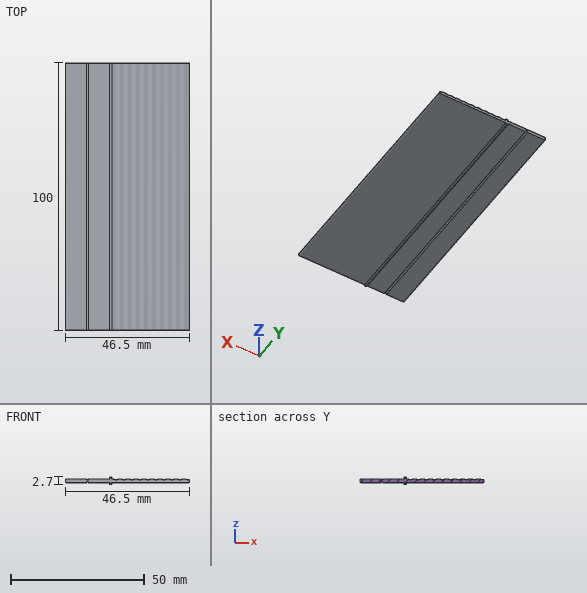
import cadquery as cq
import math

width = 46.5
length = 100.0
thickness = 1.5
left = -width / 2
right = width / 2
top = thickness / 2
left_round = 0.5
right_round = 0.5

groove_x = -15.0
groove_radius = 0.4

rib_x = -6.3
rib_width = 0.9
rib_height = 2.7
rib_round = 0.2

wave_pitch = 3.0
wave_depth = 0.3
first_trough_x = -4.3
trough_count = 9
arc_span = wave_pitch / 2
wave_mid = top - wave_depth / 2
wave_floor = top - wave_depth
wave_start_x = first_trough_x - arc_span / 2
wave_end_x = first_trough_x + trough_count * wave_pitch
wave_arc_radius = (arc_span**2 / 4 + (wave_depth / 2) ** 2) / wave_depth


def base_strip():
    """Plate with a wavy top on the right of the rib, extruded along Y."""
    outline = cq.Workplane("XZ").moveTo(left, -top).lineTo(left, top)
    first_crest_x = wave_start_x - arc_span / 2
    outline = outline.lineTo(first_crest_x, top)
    half_angle = math.asin(arc_span / 2 / wave_arc_radius) / 2
    shoulder_x = wave_arc_radius * math.sin(half_angle)
    shoulder_drop = wave_arc_radius * (1 - math.cos(half_angle))
    outline = outline.threePointArc(
        (first_crest_x + shoulder_x, top - shoulder_drop), (wave_start_x, wave_mid)
    )
    for i in range(trough_count):
        trough_x = first_trough_x + i * wave_pitch
        crest_x = trough_x + arc_span
        outline = outline.threePointArc((trough_x, wave_floor), (trough_x + arc_span / 2, wave_mid))
        outline = outline.threePointArc((crest_x, top), (crest_x + arc_span / 2, wave_mid))
    outline = outline.threePointArc(
        (wave_end_x - shoulder_x, wave_floor + shoulder_drop), (wave_end_x, wave_floor)
    )
    outline = outline.lineTo(right, wave_floor).lineTo(right, -top).close()
    strip = outline.extrude(length / 2, both=True)
    strip = strip.edges("|Y and <X").fillet(left_round)
    return strip.edges("|Y and >X").fillet(right_round)


def fold_grooves():
    return (
        cq.Workplane("XZ")
        .pushPoints([(groove_x, top), (groove_x, -top)])
        .circle(groove_radius)
        .extrude(length / 2, both=True)
    )


def rib():
    bar = cq.Workplane("XY").box(rib_width, length, rib_height)
    return bar.edges("|Y").fillet(rib_round).translate((rib_x, 0, 0))


result = base_strip().cut(fold_grooves()).union(rib())